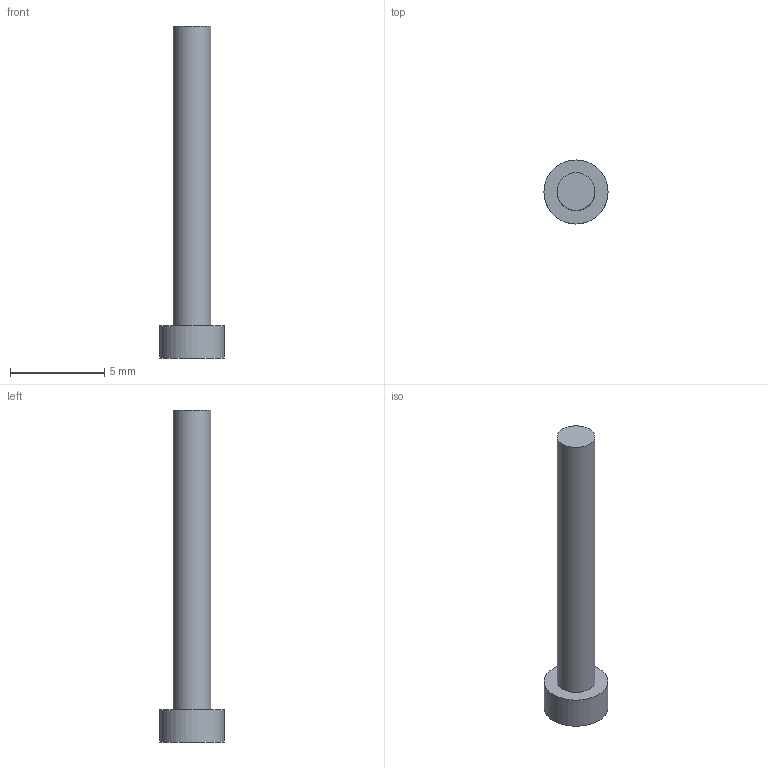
import cadquery as cq

total_length = 17.6
head_diameter = 3.4
head_height = 1.7
shank_diameter = 2.0

shank_length = total_length - head_height


def make_head():
    """Plain round head standing on the XY plane."""
    return cq.Workplane("XY").circle(head_diameter / 2).extrude(head_height)


def add_shank(body):
    """Straight round shank rising from the centre of the head."""
    return body.faces(">Z").workplane().circle(shank_diameter / 2).extrude(shank_length)


result = add_shank(make_head())